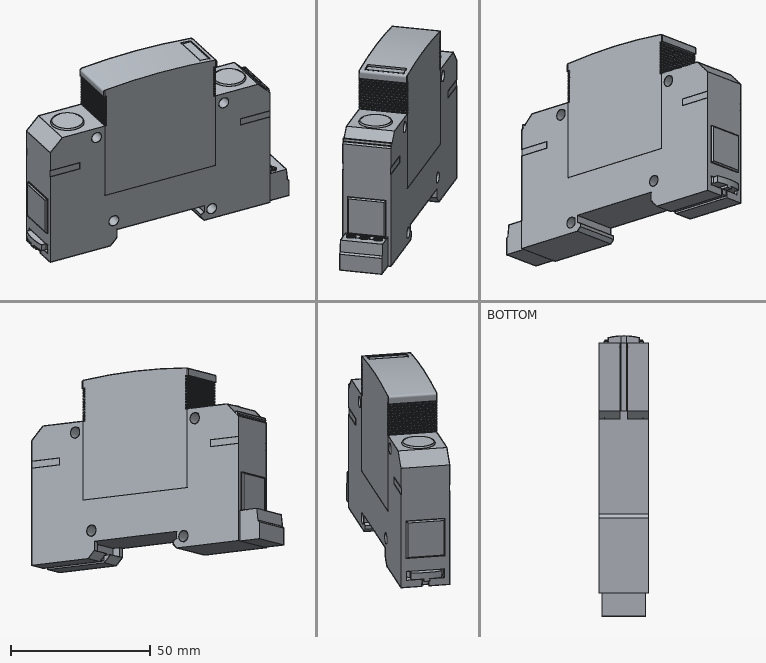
import cadquery as cq
import math


WIDTH = 18.0
HOUSING_LENGTH = 90.0
SHOULDER_HEIGHT = 50.5
SHOULDER_CHAMFER = 4.9
HALF_LENGTH = HOUSING_LENGTH / 2

RIDGE_OUTLINE = [(43.6, 46.4), (43.8, 47.3), (44.5, 47.3), (44.7, 46.5), (44.2, 45.8)]

RAIL_CEILING = 6.1
RAIL_HOOK_WALL = 18.1
RAIL_LATCH_WALL = -17.7
HOOK_REACH = 1.4
HOOK_LIP_TOP = 2.7
HOOK_SLOPE_RISE = 0.7
HOOK_CHAMFER = 1.4
LATCH_SIDE_CHAMFER = 2.7

CROSS_HOLE_RADIUS = 2.0
CROSS_HOLES = [(26.0, 46.6), (-26.0, 46.6), (-19.0, 10.1), (21.1, 4.0)]

GROOVE_LENGTH = 12.1
GROOVE_BOTTOM = 35.5
GROOVE_HEIGHT = 2.5
GROOVE_DEPTH = 0.1

PLATE_WIDTH = 14.3
PLATE_BOTTOM = 11.2
PLATE_HEIGHT = 14.1
PLATE_THICKNESS = 0.9
PLATE_CHAMFER = 0.5
CAP_RADIUS = 6.1
CAP_OFFSET = 33.1
CAP_HEIGHT = 0.6
CAP_TOP_RADIUS = 5.7

MODULE_LENGTH = 45.2
MODULE_BOTTOM = 21.6
HEAD_LENGTH = 46.4
HEAD_BOTTOM = 62.6
CROWN_END_HEIGHT = 65.3
CROWN_RADIUS = 234.1
CROWN_RISE = CROWN_RADIUS - math.sqrt(CROWN_RADIUS**2 - (HEAD_LENGTH / 2) ** 2)
MODULE_TOP = CROWN_END_HEIGHT + CROWN_RISE
HEAD_FILLET = 0.9
LIP_INSET = 0.1
GRIP_GROOVES = 12
GRIP_DEPTH = 0.6
WINDOW_WIDTH = 14.4
WINDOW_LENGTH = 4.0
WINDOW_CENTRE = 19.3
WINDOW_FLOOR = 65.1

CONNECTOR_WIDTH = 15.7
CONNECTOR_REACH = 8.4
CONNECTOR_STEP_HEIGHT = 6.2
CONNECTOR_STEP_TOP = 6.9
CONNECTOR_STEP_INSET = 0.6
CONNECTOR_TOP_INSET = 1.1
SCREW_COUNT = 3
SCREW_PITCH = 5.1
SCREW_OFFSET = 3.0
SCREW_HOLE_RADIUS = 1.5
SCREW_RADIUS = 1.2
SCREW_COLLAR_RADIUS = 1.9
SCREW_SLOT_WIDTH = 0.6
SCREW_DEPTH = 0.5
RECESS_WIDTH = 14.3
RECESS_REACH = 1.4
RECESS_TAB_REACH = 3.6
RECESS_DEPTH = 0.4

SLOT_WIDTH = 13.8
SLOT_BOTTOM = 2.7
NECK_WIDTH = 2.7
STEM_WIDTH = 2.1
STEM_BOTTOM = 0.6
BAR_BOTTOM = 3.6
HANDLE_REACH = 2.5
HANDLE_CORNER_REACH = 1.8
HANDLE_WIDTH = 11.3
TONGUE_WIDTH = 3.9
TONGUE_SETBACK = 1.5
TONGUE_FILLET = 2.1
TONGUE_CORNER = 2.5
LATCH_END = RAIL_LATCH_WALL - LATCH_SIDE_CHAMFER


def box(width, y_start, y_end, z_start, z_end, x=0):
    """Block centred on x, between two Y and two Z positions."""
    length = y_end - y_start
    return cq.Workplane("XY").box(width, length, z_end - z_start).translate(
        (x, (y_start + y_end) / 2, (z_start + z_end) / 2)
    )


def across(extent):
    """Workplane for (y, z) outlines whose extrusion by extent is centred on X."""
    return cq.Workplane("YZ", origin=(-extent / 2, 0, 0))


def housing_block():
    """Side outline with chamfered shoulders and the rail recess, across the full width."""
    lip = RAIL_HOOK_WALL - HOOK_REACH
    chamfer_start = HALF_LENGTH - SHOULDER_CHAMFER
    chamfer_foot = SHOULDER_HEIGHT - SHOULDER_CHAMFER
    outline = [
        (-HALF_LENGTH, 0),
        (RAIL_LATCH_WALL - LATCH_SIDE_CHAMFER, 0),
        (RAIL_LATCH_WALL, LATCH_SIDE_CHAMFER),
        (RAIL_LATCH_WALL, RAIL_CEILING),
        (RAIL_HOOK_WALL, RAIL_CEILING),
        (RAIL_HOOK_WALL, HOOK_LIP_TOP + HOOK_SLOPE_RISE),
        (lip, HOOK_LIP_TOP),
        (lip, HOOK_CHAMFER),
        (lip + HOOK_CHAMFER, 0),
        (HALF_LENGTH, 0),
        (HALF_LENGTH, chamfer_foot),
        (chamfer_start, SHOULDER_HEIGHT),
        (-chamfer_start, SHOULDER_HEIGHT),
        (-HALF_LENGTH, chamfer_foot),
    ]
    return across(WIDTH).polyline(outline).close().extrude(WIDTH)


def chamfer_ridge():
    """Small ridge along the +Y shoulder chamfer."""
    return across(WIDTH).polyline(RIDGE_OUTLINE).close().extrude(WIDTH)


def terminal_plate(side):
    """Raised plate on the end face at side * Y, with its outer rim chamfered."""
    outer_face = ">Y" if side > 0 else "<Y"
    face = side * HALF_LENGTH
    y_start, y_end = sorted((face, face + side * PLATE_THICKNESS))
    plate = box(PLATE_WIDTH, y_start, y_end, PLATE_BOTTOM, PLATE_BOTTOM + PLATE_HEIGHT)
    return plate.faces(outer_face).chamfer(PLATE_CHAMFER)


def screw_cap(side):
    """Low disc that tapers towards its top."""
    cap = cq.Workplane("XY", origin=(0, side * CAP_OFFSET, SHOULDER_HEIGHT))
    taper = math.degrees(math.atan2(CAP_RADIUS - CAP_TOP_RADIUS, CAP_HEIGHT))
    return cap.circle(CAP_RADIUS).extrude(CAP_HEIGHT, taper=taper)


def flank_groove(x_side, y_side):
    """Cutter for one marking groove, half of it lying outside the flank."""
    y_start, y_end = sorted((y_side * HALF_LENGTH, y_side * (HALF_LENGTH - GROOVE_LENGTH)))
    groove_top = GROOVE_BOTTOM + GROOVE_HEIGHT
    return box(2 * GROOVE_DEPTH, y_start, y_end, GROOVE_BOTTOM, groove_top, x_side * WIDTH / 2)


def make_housing():
    """Housing with its plates, caps, module seat and latch slot."""
    housing = housing_block().union(chamfer_ridge())
    for side in (-1, 1):
        housing = housing.union(terminal_plate(side)).union(screw_cap(side))
        for flank in (-1, 1):
            housing = housing.cut(flank_groove(flank, side))
    module_seat = box(WIDTH, -MODULE_LENGTH / 2, MODULE_LENGTH / 2, MODULE_BOTTOM, SHOULDER_HEIGHT)
    cross_holes = across(WIDTH).pushPoints(CROSS_HOLES).circle(CROSS_HOLE_RADIUS).extrude(WIDTH)
    latch_slot = box(SLOT_WIDTH, -HALF_LENGTH, RAIL_LATCH_WALL, SLOT_BOTTOM, RAIL_CEILING)
    latch_neck = box(NECK_WIDTH, -HALF_LENGTH, RAIL_LATCH_WALL, 0, SLOT_BOTTOM)
    return housing.cut(module_seat).cut(cross_holes).cut(latch_slot).cut(latch_neck)


def module_head():
    """Overhanging head with a crowned top and rounded end edges."""
    end = HEAD_LENGTH / 2
    head = (
        across(WIDTH)
        .moveTo(-end, HEAD_BOTTOM)
        .lineTo(end, HEAD_BOTTOM)
        .lineTo(end, CROWN_END_HEIGHT)
        .threePointArc((0, MODULE_TOP), (-end, CROWN_END_HEIGHT))
        .close()
        .extrude(WIDTH)
    )
    head = head.edges("|X").edges(">Z").fillet(HEAD_FILLET)
    core_half = MODULE_LENGTH / 2
    for y_start, y_end in ((-end, -core_half), (core_half, end)):
        for flank in (-WIDTH / 2, WIDTH / 2):
            head = head.cut(box(2 * LIP_INSET, y_start, y_end, HEAD_BOTTOM, MODULE_TOP, flank))
    return head


def make_module():
    """Plug-in module with grip grooves at both ends and a window pocket on top."""
    half = MODULE_LENGTH / 2
    module = box(WIDTH, -half, half, MODULE_BOTTOM, HEAD_BOTTOM).union(module_head())
    rib_height = (HEAD_BOTTOM - SHOULDER_HEIGHT) / (2 * GRIP_GROOVES - 1)
    for index in range(GRIP_GROOVES):
        bottom = SHOULDER_HEIGHT + 2 * index * rib_height
        for y_start in (-half, half - GRIP_DEPTH):
            groove = box(WIDTH, y_start, y_start + GRIP_DEPTH, bottom, bottom + rib_height)
            module = module.cut(groove)
    window = box(
        WINDOW_WIDTH,
        WINDOW_CENTRE - WINDOW_LENGTH / 2,
        WINDOW_CENTRE + WINDOW_LENGTH / 2,
        WINDOW_FLOOR,
        MODULE_TOP,
    )
    return module.cut(window)


def connector_recess(screw_places):
    """Recess beside the housing, with a tab reaching up between each pair of screws."""
    top = PLATE_BOTTOM
    floor = top - RECESS_DEPTH
    collar_y = HALF_LENGTH + SCREW_OFFSET
    recess = box(RECESS_WIDTH, HALF_LENGTH, HALF_LENGTH + RECESS_REACH, floor, top)
    span = (SCREW_COUNT - 1) * SCREW_PITCH
    recess = recess.union(box(span, HALF_LENGTH, collar_y, floor, top))
    tab_width = SCREW_PITCH - 2 * SCREW_COLLAR_RADIUS
    for x, _ in screw_places[:-1]:
        tab_x = x + SCREW_PITCH / 2
        tab = box(tab_width, HALF_LENGTH, HALF_LENGTH + RECESS_TAB_REACH, floor, top, tab_x)
        recess = recess.union(tab)
    collars = cq.Workplane("XY", origin=(0, 0, floor)).pushPoints(screw_places)
    return recess.cut(collars.circle(SCREW_COLLAR_RADIUS).extrude(RECESS_DEPTH))


def make_connector():
    """Connector block with a row of slotted screw heads sunk in its top."""
    top = PLATE_BOTTOM
    end = HALF_LENGTH + CONNECTOR_REACH
    outline = [
        (HALF_LENGTH, 0),
        (end, 0),
        (end, CONNECTOR_STEP_HEIGHT),
        (end - CONNECTOR_STEP_INSET, CONNECTOR_STEP_TOP),
        (end - CONNECTOR_TOP_INSET, top),
        (HALF_LENGTH, top),
    ]
    connector = across(CONNECTOR_WIDTH).polyline(outline).close().extrude(CONNECTOR_WIDTH)
    first_screw = -(SCREW_COUNT - 1) / 2 * SCREW_PITCH
    screw_y = HALF_LENGTH + SCREW_OFFSET
    screw_places = [(first_screw + index * SCREW_PITCH, screw_y) for index in range(SCREW_COUNT)]
    connector = connector.cut(connector_recess(screw_places))
    screw_floor = cq.Workplane("XY", origin=(0, 0, top - SCREW_DEPTH)).pushPoints(screw_places)
    rings = screw_floor.circle(SCREW_HOLE_RADIUS).circle(SCREW_RADIUS).extrude(SCREW_DEPTH)
    slots = screw_floor.rect(2 * SCREW_RADIUS, SCREW_SLOT_WIDTH).extrude(SCREW_DEPTH)
    return connector.cut(rings).cut(slots)


def latch_plan(z_start, z_end):
    """Slice of the latch: full slot width, narrowing at 45 degrees to a bowed handle outside."""
    half = SLOT_WIDTH / 2
    handle_half = HANDLE_WIDTH / 2
    flare_end = -HALF_LENGTH + half - handle_half
    corner = -HALF_LENGTH - HANDLE_CORNER_REACH
    return (
        cq.Workplane("XY", origin=(0, 0, z_start))
        .moveTo(half, LATCH_END)
        .lineTo(half, flare_end)
        .lineTo(handle_half, -HALF_LENGTH)
        .lineTo(handle_half, corner)
        .threePointArc((0, -HALF_LENGTH - HANDLE_REACH), (-handle_half, corner))
        .lineTo(-handle_half, -HALF_LENGTH)
        .lineTo(-half, flare_end)
        .lineTo(-half, LATCH_END)
        .close()
        .extrude(z_end - z_start)
    )


def latch_tongue():
    """Plate under the bar: a narrow front that flares out to round shoulders."""
    half = SLOT_WIDTH / 2
    tongue_half = TONGUE_WIDTH / 2
    front = -HALF_LENGTH + TONGUE_SETBACK
    flare_end = front + TONGUE_FILLET
    flare_x = tongue_half + TONGUE_FILLET
    corner_x = half - TONGUE_CORNER
    diagonal = math.sqrt(0.5)
    flare_mid = (flare_x - TONGUE_FILLET * diagonal, front + TONGUE_FILLET * diagonal)
    corner_end = flare_end + TONGUE_CORNER
    corner_mid = (corner_x + TONGUE_CORNER * diagonal, corner_end - TONGUE_CORNER * diagonal)
    right_half = (
        cq.Workplane("XY", origin=(0, 0, SLOT_BOTTOM))
        .moveTo(0, front)
        .lineTo(tongue_half, front)
        .threePointArc(flare_mid, (flare_x, flare_end))
        .lineTo(corner_x, flare_end)
        .threePointArc(corner_mid, (half, corner_end))
        .lineTo(half, LATCH_END)
        .lineTo(0, LATCH_END)
        .close()
        .extrude(BAR_BOTTOM - SLOT_BOTTOM)
    )
    return right_half.union(right_half.mirror("YZ"))


def make_latch():
    """Sliding latch: bar, tongue, stem and the short rib under the handle."""
    bar = latch_plan(BAR_BOTTOM, RAIL_CEILING)
    stem = box(STEM_WIDTH, -HALF_LENGTH, LATCH_END, STEM_BOTTOM, BAR_BOTTOM)
    rib_space = box(STEM_WIDTH, -HALF_LENGTH - HANDLE_REACH, -HALF_LENGTH, SLOT_BOTTOM, BAR_BOTTOM)
    handle_rib = latch_plan(SLOT_BOTTOM, BAR_BOTTOM).intersect(rib_space)
    return bar.union(latch_tongue()).union(stem).union(handle_rib)


housing = make_housing()
module = make_module()
connector = make_connector()
latch = make_latch()

result = cq.Compound.makeCompound([housing.val(), module.val(), connector.val(), latch.val()])